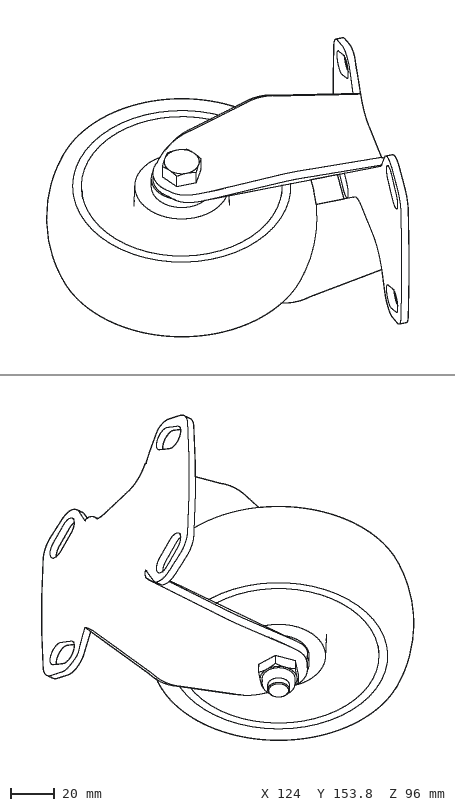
import cadquery as cq
import math


sheet = 3.5
plate_back = 91.8
leg_inner = 24.9
leg_outer = leg_inner + sheet
leg_end_radius = 13.2
web_half_width = 9.8
web_corner_y = -math.sqrt(leg_end_radius**2 - web_half_width**2)
flare_angle = math.radians(54)
bend_radius = 13.2
bend_middle_radius = bend_radius + sheet / 2
bend_inner_radius = bend_radius + sheet

flare_root_height = 1.2
flare_shoulder = (7.8, 53.2)
flare_crest = (8.9, 45.2)
flare_heel = (7.4, 36.9)
flare_tip_y = 10.6
bend_edge_bulge = (9.5, 0.0)
bend_edge_steps = 6
wedge_reach = 8 * bend_radius

plate_half_width = 58.3
ear_outer = (46.0, 32.9)
ear_outer_radius = 11.0
ear_inner = (38.0, 38.0)
ear_inner_radius = 10.0
slot_width = 11.0
selection_margin = 0.2

wheel_half_width = 20.0
tyre_radius = 62.0
tyre_edge_radius = 58.1
tyre_corner = 0.9
rim_radius = 50.0
rim_inner_radius = 46.0
hub_radius = 21.5
disc_half_thickness = 3.4
disc_fillet = 4.2
groove_draft = math.radians(2)
sleeve_radius = 14.0

bolt_diameter = 10.0
bolt_radius = bolt_diameter / 2
bolt_end = -41.4
bolt_end_chamfer = 0.5
head_width = 16.0
head_height = 7.2
head_turn = 30
nut_width = 16.9
nut_height = 5.7
nut_turn = 16
collar_radius = 7.5
collar_height = 4.0
collar_fillet = 0.9
hex_chamfer_angle = math.radians(30)


def bend_point(radius, angle):
    """X, Z of a point on the right-hand bend, with the angle counted from the flat web."""
    return (
        web_half_width + radius * math.sin(angle),
        leg_outer + bend_radius - radius * math.cos(angle),
    )




def leg_web():
    """Flat strip of the upper leg, rounded about the axle at its free end."""
    return (
        cq.Workplane("XY", origin=(0, 0, leg_inner))
        .moveTo(-web_half_width, plate_back)
        .lineTo(-web_half_width, web_corner_y)
        .threePointArc((0, -leg_end_radius), (web_half_width, web_corner_y))
        .lineTo(web_half_width, plate_back)
        .close()
        .extrude(sheet)
    )


def circle_through(a, b, c):
    """Centre and radius of the circle through three points."""
    d = 2 * (a[0] * (b[1] - c[1]) + b[0] * (c[1] - a[1]) + c[0] * (a[1] - b[1]))
    squares = [p[0] ** 2 + p[1] ** 2 for p in (a, b, c)]
    x = (squares[0] * (b[1] - c[1]) + squares[1] * (c[1] - a[1]) + squares[2] * (a[1] - b[1])) / d
    y = (squares[0] * (c[0] - b[0]) + squares[1] * (a[0] - c[0]) + squares[2] * (b[0] - a[0])) / d
    return (x, y), math.dist((x, y), a)


def leg_bend():
    """Curved strip beside the web, whose edge is an arc on the unrolled sheet, square to the sheet."""
    strip = (
        cq.Workplane("XZ", origin=(0, plate_back, 0))
        .moveTo(*bend_point(bend_radius, 0))
        .threePointArc(bend_point(bend_radius, flare_angle / 2), bend_point(bend_radius, flare_angle))
        .lineTo(*bend_point(bend_inner_radius, flare_angle))
        .threePointArc(
            bend_point(bend_inner_radius, flare_angle / 2),
            bend_point(bend_inner_radius, 0),
        )
        .close()
        .extrude(plate_back - web_corner_y)
    )

    centre, radius = circle_through(
        (0, web_corner_y), bend_edge_bulge, (bend_middle_radius * flare_angle, flare_tip_y)
    )
    wedges = []
    for step in range(bend_edge_steps + 1):
        y = web_corner_y + (flare_tip_y - web_corner_y) * step / bend_edge_steps
        arc_length = centre[0] + math.sqrt(radius**2 - (y - centre[1]) ** 2)
        angle = arc_length / bend_middle_radius
        corners = [bend_point(0, 0), bend_point(wedge_reach, angle), bend_point(wedge_reach, math.pi / 2)]
        wedges.append(cq.Wire.makePolygon([cq.Vector(x, y, z) for x, z in corners], close=True))
    return strip.cut(cq.Workplane(cq.Solid.makeLoft(wedges)))


def leg_flare():
    """Flat flare beyond the bend, widest at its crest."""
    x, z = bend_point(bend_inner_radius, flare_angle)
    inner_face = cq.Plane(
        origin=(x, 0, z),
        xDir=(math.cos(flare_angle), 0, math.sin(flare_angle)),
        normal=(-math.sin(flare_angle), 0, math.cos(flare_angle)),
    )
    return (
        cq.Workplane(inner_face)
        .moveTo(0, flare_tip_y)
        .lineTo(0, plate_back)
        .lineTo(flare_root_height, plate_back)
        .lineTo(*flare_shoulder)
        .threePointArc(flare_crest, flare_heel)
        .close()
        .extrude(sheet)
    )


def upper_leg():
    right_side = leg_bend().union(leg_flare())
    return leg_web().union(right_side).union(right_side.mirror("YZ"))


def tangent_points(first, first_radius, second, second_radius):
    """Ends of the outer tangent on the left of the way from the first circle to the second."""
    along = math.atan2(second[1] - first[1], second[0] - first[0])
    spread = math.acos((first_radius - second_radius) / math.dist(first, second))
    direction = (math.cos(along + spread), math.sin(along + spread))
    return [
        (c[0] + r * direction[0], c[1] + r * direction[1])
        for c, r in ((first, first_radius), (second, second_radius))
    ]


def on_circle(centre, radius, angle):
    return (centre[0] + radius * math.cos(angle), centre[1] + radius * math.sin(angle))


def plate_quarter():
    """Quarter of the plate at +X +Z, out to one ear and in to the inner face of the leg."""
    gap = plate_half_width - ear_outer[0]
    side_radius = (gap**2 + ear_outer[1] ** 2 - ear_outer_radius**2) / (2 * (gap - ear_outer_radius))
    side_centre = (plate_half_width - side_radius, 0)
    side_angle = math.atan2(ear_outer[1], ear_outer[0] - side_centre[0])
    top_inner, top_outer = tangent_points(ear_inner, ear_inner_radius, ear_outer, ear_outer_radius)
    top_angle = math.atan2(top_inner[1] - ear_inner[1], top_inner[0] - ear_inner[0])
    ear_side_angle = flare_angle + math.pi / 2
    return (
        cq.Workplane("XZ", origin=(0, plate_back, 0))
        .lineTo(plate_half_width, 0)
        .threePointArc(
            on_circle(side_centre, side_radius, side_angle / 2),
            on_circle(side_centre, side_radius, side_angle),
        )
        .threePointArc(on_circle(ear_outer, ear_outer_radius, (side_angle + top_angle) / 2), top_outer)
        .lineTo(*top_inner)
        .threePointArc(
            on_circle(ear_inner, ear_inner_radius, (top_angle + ear_side_angle) / 2),
            on_circle(ear_inner, ear_inner_radius, ear_side_angle),
        )
        .lineTo(*bend_point(bend_inner_radius, flare_angle))
        .threePointArc(
            bend_point(bend_inner_radius, flare_angle / 2),
            bend_point(bend_inner_radius, 0),
        )
        .lineTo(0, leg_inner)
        .close()
        .extrude(sheet)
        .cut(ear_slot())
    )


def ear_slot():
    run = (ear_outer[0] - ear_inner[0], ear_outer[1] - ear_inner[1])
    middle = ((ear_outer[0] + ear_inner[0]) / 2, (ear_outer[1] + ear_inner[1]) / 2)
    return (
        cq.Workplane("XZ", origin=(0, plate_back, 0))
        .center(*middle)
        .slot2D(math.hypot(*run) + slot_width, slot_width, math.degrees(math.atan2(run[1], run[0])))
        .extrude(sheet)
    )


def outer_bend_edges():
    """Selects the plate's back edges along the outer face of the upper leg."""
    x, z = bend_point(bend_radius, flare_angle)
    x += flare_root_height * math.cos(flare_angle)
    z += flare_root_height * math.sin(flare_angle)
    return cq.selectors.BoxSelector(
        (-x, plate_back - selection_margin, leg_outer - selection_margin),
        (x, plate_back + selection_margin, z),
    )


def make_bracket():
    """Plate and two legs of one bent sheet, with a bolt hole through both legs."""
    upper = upper_leg()
    quarter = plate_quarter()
    half = quarter.union(quarter.mirror("YZ")).union(upper)
    half = half.edges(outer_bend_edges()).fillet(sheet)
    bracket = half.union(half.mirror("XY"))
    hole = cq.Workplane("XY", origin=(0, 0, -leg_outer)).circle(bolt_radius).extrude(2 * leg_outer)
    return bracket.cut(hole)




def make_tyre():
    """Crowned ring around the rim."""
    tyre = (
        cq.Workplane("XZ")
        .moveTo(rim_radius, -wheel_half_width)
        .lineTo(tyre_edge_radius, -wheel_half_width)
        .threePointArc((tyre_radius, 0), (tyre_edge_radius, wheel_half_width))
        .lineTo(rim_radius, wheel_half_width)
        .close()
        .revolve(360, (0, 0), (0, 1))
    )
    outer_corners = cq.selectors.RadiusNthSelector(-1)
    return tyre.faces("|Z").edges(outer_corners).fillet(tyre_corner)


def make_rim():
    """Hub and rim joined by a thin disc, bored for the sleeve."""
    rim = cq.Workplane("XY").circle(rim_radius).circle(sleeve_radius).extrude(wheel_half_width, both=True)
    lean = (wheel_half_width - disc_half_thickness) * math.tan(groove_draft)
    groove = (
        cq.Workplane("XZ")
        .moveTo(hub_radius, wheel_half_width)
        .lineTo(rim_inner_radius, wheel_half_width)
        .lineTo(rim_inner_radius - lean, disc_half_thickness)
        .lineTo(hub_radius + lean, disc_half_thickness)
        .close()
        .revolve(360, (0, 0), (0, 1))
        .faces("<Z")
        .edges()
        .fillet(disc_fillet)
    )
    return rim.cut(groove).cut(groove.mirror("XY"))


def make_sleeve():
    """Axle tube that spans the legs."""
    return cq.Workplane("XY").circle(sleeve_radius).circle(bolt_radius).extrude(leg_inner, both=True)




def chamfered_hex(width, height, turn):
    """Hexagon standing on the XY plane, its top corners trimmed to a cone."""
    corner_radius = width / math.sqrt(3)
    chamfer_drop = (corner_radius - width / 2) * math.tan(hex_chamfer_angle)
    hexagon = cq.Workplane("XY").polygon(6, 2 * corner_radius).extrude(height)
    hexagon = hexagon.rotate((0, 0, 0), (0, 0, 1), turn)
    envelope = (
        cq.Workplane("XZ")
        .lineTo(corner_radius, 0)
        .lineTo(corner_radius, height - chamfer_drop)
        .lineTo(width / 2, height)
        .lineTo(0, height)
        .close()
        .revolve(360, (0, 0), (0, 1))
    )
    return hexagon.intersect(envelope)


def make_bolt():
    head = chamfered_hex(head_width, head_height, head_turn).translate((0, 0, leg_outer))
    shank = (
        cq.Workplane("XY", origin=(0, 0, bolt_end))
        .circle(bolt_radius)
        .extrude(leg_outer - bolt_end)
        .faces("<Z")
        .chamfer(bolt_end_chamfer)
    )
    return head.union(shank)


def make_nut():
    """Hexagon nut with a round locking collar, under the lower leg."""
    collar = (
        cq.Workplane("XY", origin=(0, 0, nut_height))
        .circle(collar_radius)
        .extrude(collar_height)
        .faces(">Z")
        .fillet(collar_fillet)
    )
    body = chamfered_hex(nut_width, nut_height, nut_turn).union(collar)
    bore = cq.Workplane("XY").circle(bolt_radius).extrude(nut_height + collar_height)
    return body.cut(bore).mirror("XY").translate((0, 0, -leg_outer))


bracket = make_bracket()
tyre = make_tyre()
rim = make_rim()
sleeve = make_sleeve()
bolt = make_bolt()
nut = make_nut()

result = cq.Compound.makeCompound(
    [bracket.val(), tyre.val(), rim.val(), sleeve.val(), bolt.val(), nut.val()]
)